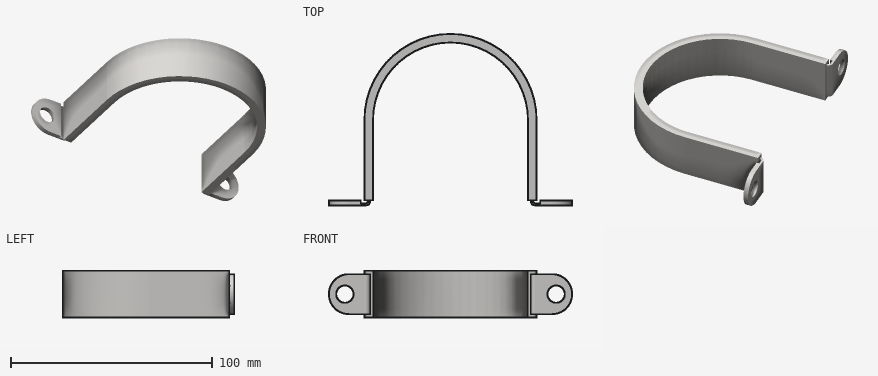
import cadquery as cq

band_height = 23.4
band_outer_radius = 42.85
band_thickness = 4.4
band_inner_radius = band_outer_radius - band_thickness
leg_length = 40.0
leg_end_y = -leg_length

overall_width = 121.0
ear_height = 20.0
ear_thickness = 2.5
ear_end_radius = ear_height / 2
ear_pad_length = 16.0
ear_tip_x = overall_width / 2
ear_end_centre_x = ear_tip_x - ear_end_radius
ear_pad_inner_x = ear_tip_x - ear_pad_length
ear_face_y = leg_end_y - ear_thickness

strip_thickness = 1.05
strip_inner_x = 39.9
strip_outer_x = strip_inner_x + strip_thickness
bend_outer_radius = 2.2
bend_inner_radius = ear_thickness - strip_thickness
bend_front_start_x = strip_inner_x + bend_outer_radius
bend_front_end_y = ear_face_y + bend_outer_radius
bend_back_start_x = strip_outer_x + bend_inner_radius
strip_back_y = ear_face_y + strip_thickness

hole_diameter = 8.5
hole_spacing = 105.0


def make_band():
    """Half-round arch with two straight legs."""
    outline = (
        cq.Workplane("XY")
        .moveTo(-band_outer_radius, leg_end_y)
        .lineTo(-band_outer_radius, 0)
        .threePointArc((0, band_outer_radius), (band_outer_radius, 0))
        .lineTo(band_outer_radius, leg_end_y)
        .lineTo(band_inner_radius, leg_end_y)
        .lineTo(band_inner_radius, 0)
        .threePointArc((0, band_inner_radius), (-band_inner_radius, 0))
        .lineTo(-band_inner_radius, leg_end_y)
        .close()
    )
    return outline.extrude(band_height / 2, both=True)


def make_ear():
    """Ear on the +X side: bent strip, thick pad, rounded end and screw hole."""
    profile = (
        cq.Workplane("XY")
        .moveTo(strip_inner_x, leg_end_y)
        .lineTo(strip_inner_x, bend_front_end_y)
        .radiusArc((bend_front_start_x, ear_face_y), -bend_outer_radius)
        .lineTo(ear_tip_x, ear_face_y)
        .lineTo(ear_tip_x, leg_end_y)
        .lineTo(ear_pad_inner_x, leg_end_y)
        .lineTo(ear_pad_inner_x, strip_back_y)
        .lineTo(bend_back_start_x, strip_back_y)
        .radiusArc((strip_outer_x, leg_end_y), bend_inner_radius)
        .close()
    )
    bent_plate = profile.extrude(ear_end_radius, both=True)

    face_outline = (
        cq.Workplane("XZ", origin=(0, leg_end_y, 0))
        .moveTo(strip_inner_x, -ear_end_radius)
        .lineTo(ear_end_centre_x, -ear_end_radius)
        .threePointArc((ear_tip_x, 0), (ear_end_centre_x, ear_end_radius))
        .lineTo(strip_inner_x, ear_end_radius)
        .close()
    )
    rounded_block = face_outline.extrude(ear_thickness)

    hole = (
        cq.Workplane("XZ", origin=(hole_spacing / 2, leg_end_y, 0))
        .circle(hole_diameter / 2)
        .extrude(ear_thickness)
    )
    return bent_plate.intersect(rounded_block).cut(hole)


right_ear = make_ear()
left_ear = right_ear.mirror("YZ")
result = make_band().union(right_ear).union(left_ear)